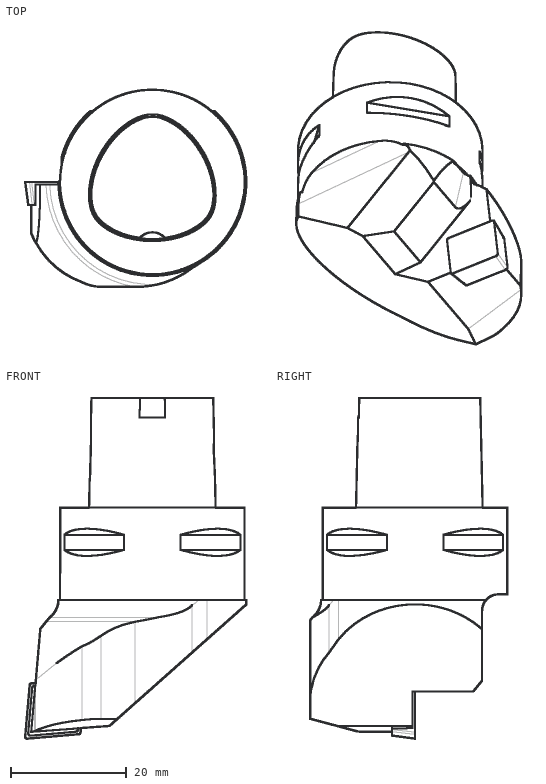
import cadquery as cq
import math


shank_height = 19.0
shank_radius = 11.0
shank_lobe = 0.74
shank_draft = 0.4
shank_points = 24
key_radius = 2.85
key_depth = 1.1
key_height = 3.4

collar_radius = 16.0
collar_height = 16.0
slot_count = 4
slot_floor = 14.2
slot_middle = -6.0
slot_floor_half = 1.3
slot_mouth_half = 2.35

base_radius = 16.3
rake_y = -0.5
front_y = -18.2
head_bottom = -40.0
head_reach = 26.55
bulge_radius = 22.8
tip_angle = 5.0
back_slope_start = (16.3, -16.75)
back_slope_end = (-7.45, -37.8)
side_x = -19.4
side_z = -21.05
end_z = -38.8
end_relief_y = -9.75
end_relief_angle = 15.0

throat_middle = (16.7, -17.7)
throat_end = (17.75, -19.0)
bulge_start = (18.4, -19.75)
bulge_middle = (21.05, -23.7)
bulge_end = (bulge_radius, -30.7)

cheek_outer = (-head_reach, -2.35)
cheek_corner = (-20.2, -10.45)
flank_middle = (-16.8, -14.65)
flank_end = (-12.2, -17.35)
shoulder_middle = (-10.6, -17.95)
front_left_x = -8.9
front_right_x = -3.0
heel_middle = (2.5, -17.3)
heel_end = (6.9, -14.85)
base_join_x = 9.45

relief_y = 11.6
relief_top = -15.05
relief_radius = 2.8
flute_top = (-15.7, -16.0)
flute_edge = (-14.05, -23.95)
flute_bottom = (-5.9, -31.85)
flute_fillet = 1.6
flute_chamfer_y = 8.1
chamfer_rim = (-10.6, 12.35, -16.5)
chamfer_foot = (1.4, relief_y, -30.0)

insert_tip = (-22.05, -40.05)
insert_side = 9.7
insert_thickness = 4.0
insert_relief = 7.0
insert_nose = 0.4


def polygon_points(mean_radius):
    """Points on a three-lobed curve with a lobe towards +Y, built from its support function."""
    points = []
    for i in range(shank_points):
        turn = 2 * math.pi * i / shank_points
        support = mean_radius + shank_lobe * math.cos(3 * turn)
        slide = -3 * shank_lobe * math.sin(3 * turn)
        x = -support * math.sin(turn) - slide * math.cos(turn)
        y = support * math.cos(turn) - slide * math.sin(turn)
        points.append((x, y))
    return points


def make_shank():
    shank = (
        cq.Workplane("XY")
        .spline(polygon_points(shank_radius), periodic=True, makeWire=True)
        .workplane(offset=shank_height)
        .spline(polygon_points(shank_radius - shank_draft), periodic=True, makeWire=True)
        .loft(ruled=True)
    )
    edge_y = -(shank_radius - shank_draft - shank_lobe)
    key = (
        cq.Workplane("XY", origin=(0, edge_y + key_depth - key_radius, shank_height - key_height))
        .circle(key_radius)
        .extrude(key_height)
    )
    return shank.cut(key)


def make_collar():
    collar = cq.Workplane("XY").circle(collar_radius).extrude(-collar_height)
    slot = (
        cq.Workplane("XZ")
        .moveTo(slot_floor, slot_middle - slot_floor_half)
        .lineTo(collar_radius, slot_middle - slot_mouth_half)
        .lineTo(collar_radius, slot_middle + slot_mouth_half)
        .lineTo(slot_floor, slot_middle + slot_floor_half)
        .close()
        .extrude(collar_radius, both=True)
    )
    for i in range(slot_count):
        angle = (i + 0.5) * 360 / slot_count
        collar = collar.cut(slot.rotate((0, 0, 0), (0, 0, 1), angle))
    return collar


def make_turned_envelope():
    """Neck that flares from the base radius into a convex bulge."""
    return (
        cq.Workplane("XZ")
        .moveTo(0, -collar_height)
        .lineTo(base_radius, -collar_height)
        .threePointArc(throat_middle, throat_end)
        .lineTo(*bulge_start)
        .threePointArc(bulge_middle, bulge_end)
        .lineTo(bulge_radius, head_bottom)
        .lineTo(0, head_bottom)
        .close()
        .revolve(360, (0, 0, 0), (0, 1, 0))
    )


def make_plan():
    """Head outline: round base at +Y and a swollen quarter that carries the insert."""
    join = (base_join_x, -math.sqrt(base_radius**2 - base_join_x**2))
    rake_end = (-math.sqrt(base_radius**2 - rake_y**2), rake_y)
    return (
        cq.Workplane("XY", origin=(0, 0, head_bottom))
        .moveTo(*rake_end)
        .lineTo(-head_reach, rake_y)
        .lineTo(*cheek_outer)
        .lineTo(*cheek_corner)
        .threePointArc(flank_middle, flank_end)
        .threePointArc(shoulder_middle, (front_left_x, front_y))
        .lineTo(front_right_x, front_y)
        .threePointArc(heel_middle, heel_end)
        .lineTo(*join)
        .threePointArc((0, base_radius), rake_end)
        .close()
        .extrude(-head_bottom - collar_height)
    )


def make_side_profile():
    """Head seen along Y: leaning side, end face and long slope below the collar."""
    lean = math.tan(math.radians(tip_angle))
    side_top = (side_x + lean * (-collar_height - side_z), -collar_height)
    side_bottom = (side_x - lean * (side_z - end_z), end_z)
    return (
        cq.Workplane("XZ")
        .polyline([
            side_top,
            side_bottom,
            back_slope_end,
            back_slope_start,
            (base_radius, -collar_height),
        ])
        .close()
        .extrude(head_reach, both=True)
    )


def make_end_relief():
    run = head_reach + end_relief_y
    rise = run * math.tan(math.radians(end_relief_angle))
    return (
        cq.Workplane("YZ")
        .polyline([
            (end_relief_y, end_z),
            (-head_reach, end_z + rise),
            (-head_reach, end_z),
        ])
        .close()
        .extrude(head_reach, both=True)
    )


def make_side_relief():
    """Flat at +Y that runs up into the collar through a round corner."""
    corner = relief_radius * (1 - math.sqrt(0.5))
    return (
        cq.Workplane("YZ")
        .moveTo(relief_y, head_bottom)
        .lineTo(relief_y, relief_top - relief_radius)
        .threePointArc(
            (relief_y + corner, relief_top - corner),
            (relief_y + relief_radius, relief_top),
        )
        .lineTo(head_reach, relief_top)
        .lineTo(head_reach, head_bottom)
        .close()
        .extrude(head_reach, both=True)
    )


def make_flute():
    flute = (
        cq.Workplane("XZ", origin=(0, rake_y, 0))
        .polyline([
            flute_top,
            flute_edge,
            flute_bottom,
            (0, flute_bottom[1]),
            (0, head_bottom),
            (-head_reach, head_bottom),
            (-head_reach, flute_top[1]),
        ])
        .close()
        .extrude(-head_reach)
    )
    upper_wall_middle = tuple((a + b) / 2 for a, b in zip(flute_top, flute_edge))
    corner = cq.selectors.NearestToPointSelector((upper_wall_middle[0], rake_y, upper_wall_middle[1]))
    return flute.edges(corner).fillet(flute_fillet)


def make_flute_chamfer():
    """Half-space block that bevels the flute wall towards +Y."""
    corner = cq.Vector(flute_edge[0], flute_chamfer_y, flute_edge[1])
    rim = cq.Vector(*chamfer_rim)
    foot = cq.Vector(*chamfer_foot)
    normal = (rim - corner).cross(foot - corner)
    plane = cq.Plane(origin=corner, normal=normal)
    return cq.Workplane(plane).rect(2 * head_reach, 2 * head_reach).extrude(head_reach)


def make_insert():
    """80-degree rhombus, its sides drawn in by the clearance angle away from the rake side."""
    along = math.radians(tip_angle)
    step = (insert_side * math.cos(along), insert_side * math.sin(along))
    rise = (insert_side * math.sin(along), insert_side * math.cos(along))
    x, z = insert_tip
    return (
        cq.Workplane("XZ")
        .polyline([
            (x, z),
            (x + step[0], z + step[1]),
            (x + step[0] + rise[0], z + step[1] + rise[1]),
            (x + rise[0], z + rise[1]),
        ])
        .close()
        .extrude(insert_thickness, taper=insert_relief)
        .edges("not #Y")
        .fillet(insert_nose)
    )


insert = make_insert()
head = (
    make_turned_envelope()
    .intersect(make_plan())
    .intersect(make_side_profile())
    .cut(make_end_relief())
    .cut(make_flute())
    .cut(make_flute_chamfer())
)
holder = make_shank().union(make_collar()).union(head).cut(make_side_relief()).cut(insert)

result = cq.Compound.makeCompound([holder.solids().val(), insert.solids().val()])